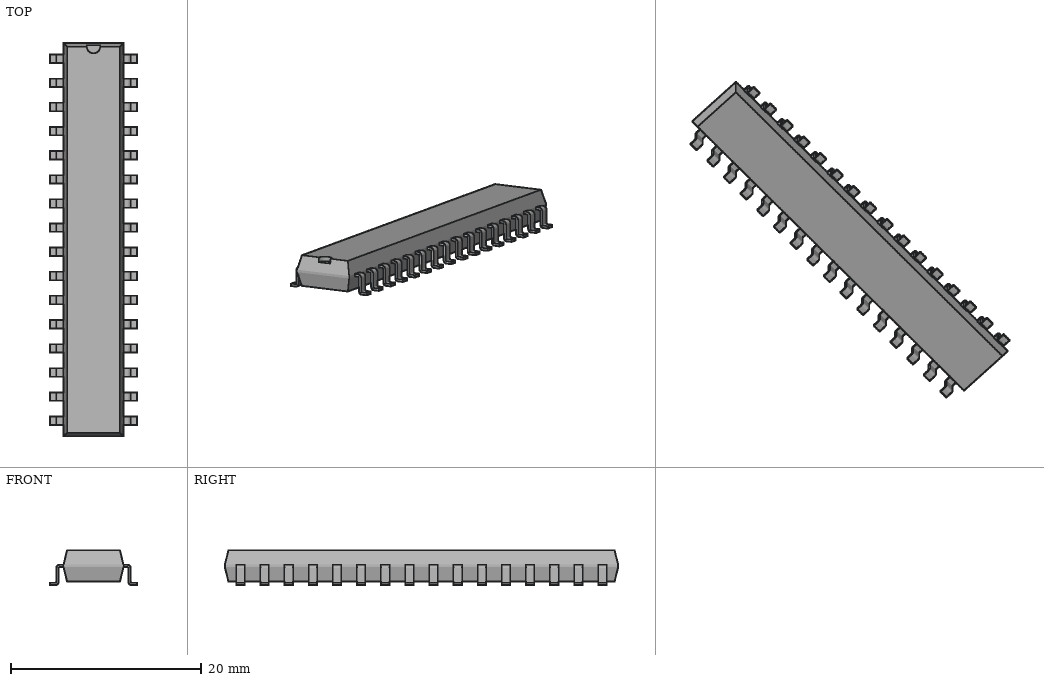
import cadquery as cq
import math

BODY_LENGTH = 41.4
BODY_WIDTH = 6.35
BODY_BOTTOM_Z = 0.37
BODY_TOP_Z = 3.7
DRAFT_ANGLE = 14.0

PINS_PER_SIDE = 16
PIN_ROW_SPAN = 38.1
PIN_WIDTH = 0.9
LEAD_THICKNESS = 0.27
LEAD_SPAN = 9.2
FOOT_LENGTH = 0.65
INNER_BEND_RADIUS = 0.105

NOTCH_RADIUS = 0.7
NOTCH_DEPTH = 0.5

BELT_CENTRE_Z = (BODY_BOTTOM_Z + BODY_TOP_Z) / 2
BELT_BOTTOM_Z = BELT_CENTRE_Z - LEAD_THICKNESS / 2
BELT_TOP_Z = BELT_CENTRE_Z + LEAD_THICKNESS / 2
HALF_BODY_HEIGHT = BODY_TOP_Z - BELT_TOP_Z
TAPER_INSET = HALF_BODY_HEIGHT * math.tan(math.radians(DRAFT_ANGLE))
OUTER_BEND_RADIUS = INNER_BEND_RADIUS + LEAD_THICKNESS
PIN_PITCH = PIN_ROW_SPAN / (PINS_PER_SIDE - 1)


def make_body():
    """Straight belt at the parting plane with a tapered half above and below it."""
    belt = (
        cq.Workplane("XY", origin=(0, 0, BELT_BOTTOM_Z))
        .rect(BODY_WIDTH, BODY_LENGTH)
        .extrude(LEAD_THICKNESS)
    )
    upper_half = belt.faces(">Z").wires().toPending().extrude(
        HALF_BODY_HEIGHT, taper=DRAFT_ANGLE, combine=False
    )
    lower_half = upper_half.mirror("XY", (0, 0, BELT_CENTRE_Z))
    return belt.union(upper_half).union(lower_half)


def make_notch():
    """Round cutter centred on the +Y edge of the top face."""
    return (
        cq.Workplane("XY", origin=(0, BODY_LENGTH / 2 - TAPER_INSET, BODY_TOP_Z))
        .circle(NOTCH_RADIUS)
        .extrude(-NOTCH_DEPTH)
    )


def round_bends(strip, corners, radius):
    """Fillet the corner edges of the strip nearest to the given (x, z) points."""
    for x, z in corners:
        strip = strip.edges(cq.selectors.NearestToPointSelector((x, 0, z))).fillet(radius)
    return strip


def make_lead():
    """One +X lead centred on Y = 0: arm out of the belt, leg down, foot outward."""
    foot_tip_x = LEAD_SPAN / 2
    leg_outer_x = foot_tip_x - FOOT_LENGTH
    leg_inner_x = leg_outer_x - LEAD_THICKNESS
    root_x = BODY_WIDTH / 2 - LEAD_THICKNESS
    strip = (
        cq.Workplane("XZ", origin=(0, PIN_WIDTH / 2, 0))
        .moveTo(root_x, BELT_BOTTOM_Z)
        .lineTo(root_x, BELT_TOP_Z)
        .lineTo(leg_outer_x, BELT_TOP_Z)
        .lineTo(leg_outer_x, LEAD_THICKNESS)
        .lineTo(foot_tip_x, LEAD_THICKNESS)
        .lineTo(foot_tip_x, 0)
        .lineTo(leg_inner_x, 0)
        .lineTo(leg_inner_x, BELT_BOTTOM_Z)
        .close()
        .extrude(PIN_WIDTH)
    )
    outer_bends = [(leg_outer_x, BELT_TOP_Z), (leg_inner_x, 0)]
    inner_bends = [(leg_inner_x, BELT_BOTTOM_Z), (leg_outer_x, LEAD_THICKNESS)]
    strip = round_bends(strip, outer_bends, OUTER_BEND_RADIUS)
    return round_bends(strip, inner_bends, INNER_BEND_RADIUS)


result = make_body().cut(make_notch())
right_lead = make_lead()
left_lead = right_lead.mirror("YZ")
for pin in range(PINS_PER_SIDE):
    pin_y = pin * PIN_PITCH - PIN_ROW_SPAN / 2
    for lead in (left_lead, right_lead):
        result = result.union(lead.translate((0, pin_y, 0)))